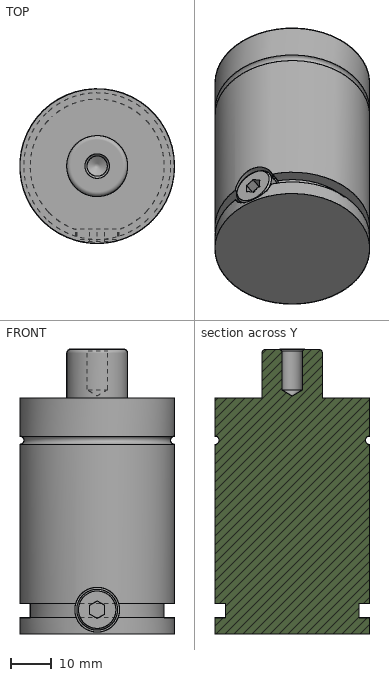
import cadquery as cq
import math

body_radius = 19.005
body_height = 58.0
rod_radius = 7.5
total_height = 70.0
rod_edge_radius = 1.05

round_groove_z = 47.6
round_groove_radius = 1.0

clamp_groove_bottom = 4.05
clamp_groove_top = 7.5
clamp_groove_floor_radius = 16.45

rod_hole_radius = 2.485
rod_hole_mouth_radius = 3.0
rod_hole_depth = 10.0
drill_point_angle = 118.0

plug_z = 6.0
counterbore_radius = 5.495
counterbore_floor = 15.4
plug_radius = 5.005
plug_face = 18.5
plug_chamfer = 0.4
hex_across_flats = 3.7
hex_depth = 3.0


def make_cylinder():
    """Revolved body and rod, with both ring grooves in the profile."""
    groove_low = round_groove_z - round_groove_radius
    groove_high = round_groove_z + round_groove_radius
    profile = (
        cq.Workplane("XZ")
        .lineTo(body_radius, 0)
        .lineTo(body_radius, clamp_groove_bottom)
        .lineTo(clamp_groove_floor_radius, clamp_groove_bottom)
        .lineTo(clamp_groove_floor_radius, clamp_groove_top)
        .lineTo(body_radius, clamp_groove_top)
        .lineTo(body_radius, groove_low)
        .threePointArc(
            (body_radius - round_groove_radius, round_groove_z),
            (body_radius, groove_high),
        )
        .lineTo(body_radius, body_height)
        .lineTo(rod_radius, body_height)
        .lineTo(rod_radius, total_height)
        .lineTo(0, total_height)
        .close()
    )
    cylinder = profile.revolve(360, (0, 0, 0), (0, 1, 0))
    return cylinder.faces(">Z").edges().fillet(rod_edge_radius)


def make_rod_hole():
    """Drilled hole with a chamfered mouth and a conical bottom."""
    mouth_depth = rod_hole_mouth_radius - rod_hole_radius
    hole_bottom = total_height - rod_hole_depth
    point_depth = rod_hole_radius / math.tan(math.radians(drill_point_angle / 2))
    profile = (
        cq.Workplane("XZ")
        .moveTo(0, total_height)
        .lineTo(rod_hole_mouth_radius, total_height)
        .lineTo(rod_hole_radius, total_height - mouth_depth)
        .lineTo(rod_hole_radius, hole_bottom)
        .lineTo(0, hole_bottom - point_depth)
        .close()
    )
    return profile.revolve(360, (0, 0, 0), (0, 1, 0))


def plane_facing_front(distance):
    """Plane facing -Y, centred on the plug axis at a distance from the cylinder axis."""
    return cq.Workplane("XZ", origin=(0, -distance, plug_z))


def make_counterbore():
    return plane_facing_front(counterbore_floor).circle(counterbore_radius).extrude(body_radius)


def make_plug():
    """Chamfered round plug with a hexagon socket, two corners pointing along Z."""
    plug = (
        plane_facing_front(counterbore_floor)
        .circle(plug_radius)
        .extrude(plug_face - counterbore_floor)
        .faces("<Y")
        .edges()
        .chamfer(plug_chamfer)
    )
    hex_across_corners = hex_across_flats / math.cos(math.pi / 6)
    socket = (
        plane_facing_front(plug_face)
        .transformed(rotate=(0, 0, 90))
        .polygon(6, hex_across_corners)
        .extrude(-hex_depth)
    )
    return plug.cut(socket)


result = (
    make_cylinder()
    .cut(make_rod_hole())
    .cut(make_counterbore())
    .union(make_plug())
)